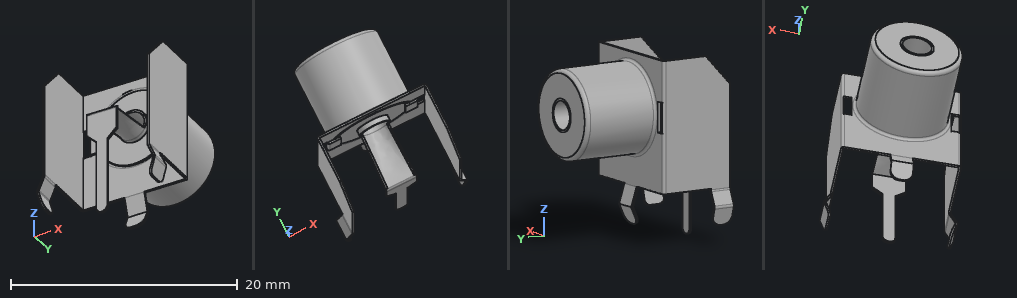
import cadquery as cq
import math


sheet = 0.2
bend_radius = 0.25
frame_width = 10.81
frame_depth = 7.0
frame_top = 5.0
frame_bottom = -7.0
corner_cut_depth = 2.5
corner_cut_height = 2.7

barrel_diameter = 8.3
bore_diameter = 7.53
barrel_length = 7.19
rim_radius = 0.37
root_radius = 0.25
mouth_radius = 0.27

window_top = 1.22
window_bottom = -1.56
tab_outer_x = 4.47
tab_inner_x = 3.2
tab_fold_radius = 0.17

leg_width = 2.0
broad_tip_radius = 0.85
right_tip_radius = 0.51
side_leg_bend_radius = 0.4
side_leg_path = [(0, frame_bottom), (0, -7.14), (0.63, -8.57), (0.15, -10.32)]
rear_leg_path = [(0, frame_bottom), (0.56, -8.79), (-0.19, -10.5)]

socket_diameter = 3.03
socket_bore = 2.62
socket_projection = 0.51
trough_half_width = 1.35
blade_front = -6.0
blade_shoulder = -3.62
contact_bend_radius = 0.19
pin_width = 1.14
pin_shoulder = -4.5
pin_bottom = frame_top - 17

frame_front = -sheet
socket_front = frame_front - socket_projection


def box(x_range, y_range, z_range):
    """Box between the given limits."""
    size = [high - low for low, high in (x_range, y_range, z_range)]
    corner = (x_range[0], y_range[0], z_range[0])
    return cq.Workplane("XY").box(*size, centered=False).translate(corner)


def cylinder(diameter, y_front, y_rear):
    """Cylinder on the socket axis."""
    return cq.Workplane("XZ", origin=(0, y_rear, 0)).circle(diameter / 2).extrude(y_rear - y_front)


def make_channel():
    """U-shaped frame with rounded folds and cut upper front corners."""
    half = frame_width / 2
    inside = half - sheet
    outer = box((-half, half), (-frame_depth, 0), (frame_bottom, frame_top))
    outer = outer.edges("|Z and >Y").fillet(bend_radius)
    cavity = box((-inside, inside), (-frame_depth, -sheet), (frame_bottom, frame_top))
    corner_cut = (
        cq.Workplane("YZ")
        .polyline([
            (-frame_depth, frame_top),
            (-frame_depth + corner_cut_depth, frame_top),
            (-frame_depth, frame_top - corner_cut_height),
        ])
        .close()
        .extrude(half, both=True)
    )
    return outer.cut(cavity).cut(corner_cut)


def make_barrel():
    """Solid barrel with a rounded rim and a concave flare at the frame."""
    radius = barrel_diameter / 2
    diagonal = math.sqrt(0.5)
    flare_middle = root_radius * (1 - diagonal)
    rim_setback = rim_radius * (1 - diagonal)
    return (
        cq.Workplane("XY")
        .moveTo(0, frame_front)
        .lineTo(radius + root_radius, frame_front)
        .lineTo(radius + root_radius, 0)
        .threePointArc((radius + flare_middle, flare_middle), (radius, root_radius))
        .lineTo(radius, barrel_length - rim_radius)
        .threePointArc(
            (radius - rim_setback, barrel_length - rim_setback),
            (radius - rim_radius, barrel_length),
        )
        .lineTo(0, barrel_length)
        .close()
        .revolve(360, (0, 0, 0), (0, 1, 0))
    )


def cut_bore(body):
    """Bore through the barrel, rounded where it meets the front of the frame."""
    body = body.cut(cylinder(bore_diameter, frame_front, barrel_length))
    mouth = cq.selectors.NearestToPointSelector((0, frame_front, 0))
    return body.edges("%CIRCLE").edges(mouth).fillet(mouth_radius)


def make_leg(path, tip_radius):
    """Bent strip that leans toward +Y, with a rounded tip."""
    inner = [(out - sheet, z) for out, z in path]
    (knee_out, knee_z), (tip_out, tip_z) = path[-2:]
    length = math.hypot(tip_out - knee_out, tip_z - knee_z)
    along = ((tip_out - knee_out) / length, (tip_z - knee_z) / length)
    inner[-1] = (tip_out + along[1] * sheet, tip_z - along[0] * sheet)
    leg = cq.Workplane("YZ").polyline(path + inner[::-1]).close().extrude(leg_width / 2, both=True)
    middle_out = (tip_out + inner[-1][0]) / 2
    middle_z = (tip_z + inner[-1][1]) / 2
    for side in (-1, 1):
        corner = (side * leg_width / 2, middle_out, middle_z)
        leg = leg.edges(cq.selectors.NearestToPointSelector(corner)).fillet(tip_radius)
    return leg


def round_side_leg_bends(leg):
    """Round both bends, keeping the sheet thickness nearly constant through each."""
    upper_bend, knee = side_leg_path[1:3]
    tight_radius = side_leg_bend_radius - sheet
    wide_radius = side_leg_bend_radius + sheet
    for (out, z), inner_radius in ((upper_bend, wide_radius), (knee, tight_radius)):
        for face_out, radius in ((out, side_leg_bend_radius), (out - sheet, inner_radius)):
            bend = cq.selectors.NearestToPointSelector((0, face_out, z))
            leg = leg.edges("|X").edges(bend).fillet(radius)
    return leg


def make_tab():
    """Right-hand tab lying on the front of the frame, rounded at its fold."""
    tab = box((tab_inner_x, tab_outer_x), (frame_front - sheet, frame_front), (window_bottom, window_top))
    return tab.edges("|Z and >X and <Y").fillet(tab_fold_radius)


def make_frame():
    """Frame, barrel, tabs and mounting legs in one piece."""
    frame = cut_bore(make_channel().union(make_barrel()))
    window = box((tab_outer_x, frame_width / 2 - sheet), (frame_front, 0), (window_bottom, window_top))
    tab = make_tab()
    frame = frame.cut(window).cut(window.mirror("YZ"))
    frame = frame.union(tab).union(tab.mirror("YZ"))
    side_leg_y = -frame_depth + leg_width / 2
    for side, tip_radius in ((-1, broad_tip_radius), (1, right_tip_radius)):
        leg = round_side_leg_bends(make_leg(side_leg_path, tip_radius))
        leg = leg.rotate((0, 0, 0), (0, 0, 1), -90 * side)
        frame = frame.union(leg.translate((side * frame_width / 2, side_leg_y, 0)))
    return frame.union(make_leg(rear_leg_path, broad_tip_radius))


def make_insulator():
    """Plug that fills the barrel around the centre contact."""
    plug = cylinder(bore_diameter, frame_front, barrel_length)
    return plug.cut(cylinder(socket_diameter, frame_front, barrel_length))


def make_trough():
    """Tongue that flattens from the lower arc of the socket to the flat blade."""
    outer = socket_diameter / 2
    inner = socket_bore / 2
    ratio = inner / outer
    arc_z = -math.sqrt(outer**2 - trough_half_width**2)
    flat_y = blade_front + sheet
    inner_half_width = trough_half_width * ratio
    arc_section = (
        cq.Workplane("XZ", origin=(0, socket_front, 0))
        .moveTo(-trough_half_width, arc_z)
        .threePointArc((0, -outer), (trough_half_width, arc_z))
        .lineTo(inner_half_width, arc_z * ratio)
        .threePointArc((0, -inner), (-inner_half_width, arc_z * ratio))
        .close()
    )
    flat_section = (
        cq.Workplane("XZ", origin=(0, flat_y, 0))
        .polyline([(-outer, -outer), (outer, -outer), (inner, -inner), (-inner, -inner)])
        .close()
    )
    return cq.Workplane(cq.Solid.makeLoft([arc_section.val(), flat_section.val()], True))


def make_blade():
    """Upright blade that narrows to a round-ended solder pin."""
    half = socket_diameter / 2
    pin_half = pin_width / 2
    blade = (
        cq.Workplane("XZ", origin=(0, blade_front + sheet, 0))
        .moveTo(-half, -socket_bore / 2)
        .lineTo(half, -socket_bore / 2)
        .lineTo(half, blade_shoulder)
        .lineTo(pin_half, pin_shoulder)
        .lineTo(pin_half, pin_bottom + pin_half)
        .threePointArc((0, pin_bottom), (-pin_half, pin_bottom + pin_half))
        .lineTo(-pin_half, pin_shoulder)
        .lineTo(-half, blade_shoulder)
        .close()
        .extrude(sheet)
    )
    return blade.edges("|X and >Z and <Y").fillet(contact_bend_radius)


def make_contact():
    """Tubular centre socket with its tongue and solder pin."""
    socket = cylinder(socket_diameter, socket_front, barrel_length)
    socket = socket.cut(cylinder(socket_bore, socket_front, barrel_length))
    return socket.union(make_trough()).union(make_blade())


frame = make_frame()
insulator = make_insulator()
contact = make_contact()
result = cq.Compound.makeCompound([frame.val(), insulator.val(), contact.val()])